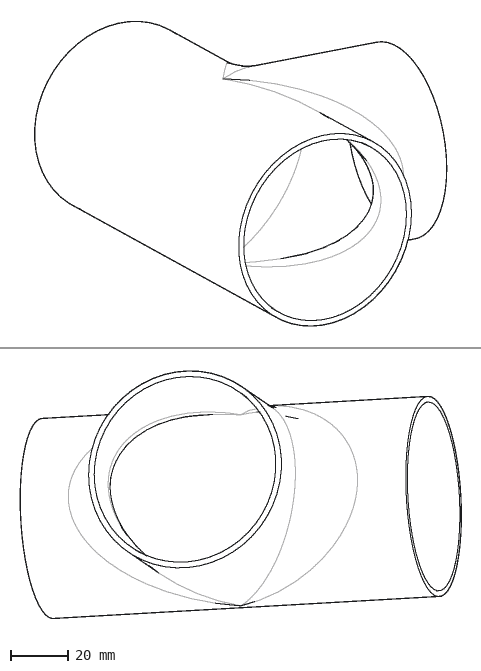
import cadquery as cq
import math

run_length = 140.0
branch_reach = 70.0
outer_diameter = 70.0
bore_diameter = 66.0

blend_end = 52.5

blend_layers = 8
join_tolerance = 0.01


def straight_pipes(radius):
    """Run and branch as solid cylinders of equal radius."""
    run = cq.Workplane("YZ").circle(radius).extrude(run_length / 2, both=True)
    branch = cq.Workplane("XZ").circle(radius).extrude(-branch_reach)
    return run.union(branch)


def crotch_wedge(radius):
    """Upright prism on the pipe axes that covers the +X crotch between the two blend edges."""
    long_side = run_length
    short_side = long_side * radius / blend_end
    return (
        cq.Workplane("XY")
        .lineTo(long_side, short_side)
        .lineTo(short_side, long_side)
        .close()
        .extrude(outer_diameter, both=True)
    )


def crotch_blend(radius):
    """Solid filling the +X crotch, from the pipe axes out to the concave blend.

    Each horizontal layer is the same outline, scaled by the half width of the
    cylinder at that height, so the blend narrows to a point at top and bottom.
    """
    end_ratio = blend_end / radius
    middle_ratio = end_ratio - (end_ratio - 1) * math.sqrt(0.5)
    layers = []
    for index in range(1, blend_layers):
        elevation = math.pi * (index / blend_layers - 0.5)
        half_width = radius * math.cos(elevation)
        end = end_ratio * half_width
        middle = middle_ratio * half_width
        outline = (
            cq.Workplane("XY", origin=(0, 0, radius * math.sin(elevation)))
            .lineTo(end, half_width)
            .threePointArc((middle, middle), (half_width, end))
            .close()
        )
        layers.append(outline.val())
    bottom = cq.Vertex.makeVertex(0, 0, -radius)
    top = cq.Vertex.makeVertex(0, 0, radius)
    return cq.Workplane(cq.occ_impl.shapes.loft(bottom, *layers, top, cap=True))


def tee_body(radius):
    """Solid tee of the given radius, with the sharp crotches replaced by blends."""
    pipes = straight_pipes(radius)
    wedge = crotch_wedge(radius)
    blend = crotch_blend(radius)
    for sharp_crotch in (wedge, wedge.mirror("YZ")):
        pipes = pipes.cut(sharp_crotch)
    blends = (blend.val(), blend.mirror("YZ").val())
    return cq.Workplane(pipes.val().fuse(*blends, tol=join_tolerance))


outer_body = tee_body(outer_diameter / 2)
bore = tee_body(bore_diameter / 2)
result = outer_body.cut(bore).solids()